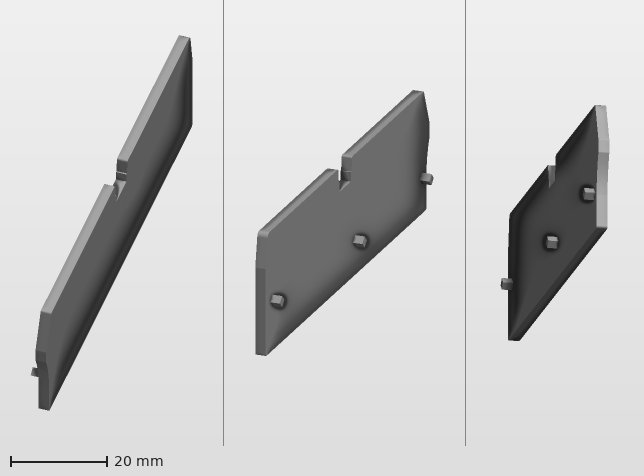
import cadquery as cq

LENGTH = 92.95
HEIGHT = 27
PLATE_THICKNESS = 2.3

TAPER_START_Z = 19.5
TAPER_INSET = 1.3
TAPER_CORNER_RADIUS = 1.2

NOSE_TOP_Y = 3.3
NOSE_UPPER_Z = 18.6
NOSE_LOWER_Z = 15.8
LOWER_END_Y = 1.9
HOLLOW_BOTTOM_Z = 7.25

NOTCH_CENTER_Y = 47.9
MOUTH_WIDTH = 7.8
MOUTH_BOTTOM_WIDTH = 7.2
SLOT_WIDTH = 6.5
MOUTH_DEPTH = 3.25
NOTCH_DEPTH = 5.3

SMALL_CORNER_RADIUS = 0.5

PEG_SIDE = 1.8
PEG_LENGTH = 2.1
PEG_CENTERS = [(4.4, 7.9), (42.3, 7.6), (89.0, 11.2)]


def round_corner(body, y, z, radius):
    """Round the plate edge running along X through (y, z)."""
    margin = 0.1
    corner_box = cq.selectors.BoxSelector(
        (-margin, y - margin, z - margin),
        (PLATE_THICKNESS + margin, y + margin, z + margin),
    )
    return body.edges(corner_box).fillet(radius)


def make_plate():
    """Plate outline in the YZ plane, extruded toward +X."""
    hollow_height = NOSE_LOWER_Z - HOLLOW_BOTTOM_Z
    hollow_radius = (hollow_height**2 + LOWER_END_Y**2) / (2 * LOWER_END_Y)
    hollow_mid_z = HOLLOW_BOTTOM_Z + hollow_height / 2
    hollow_mid_y = LOWER_END_Y - hollow_radius + (hollow_radius**2 - (hollow_height / 2) ** 2) ** 0.5

    plate = (
        cq.Workplane("YZ")
        .moveTo(LOWER_END_Y, 0)
        .lineTo(LENGTH, 0)
        .lineTo(LENGTH, TAPER_START_Z)
        .lineTo(LENGTH - TAPER_INSET, HEIGHT)
        .lineTo(NOSE_TOP_Y, HEIGHT)
        .lineTo(0, NOSE_UPPER_Z)
        .lineTo(0, NOSE_LOWER_Z)
        .threePointArc((hollow_mid_y, hollow_mid_z), (LOWER_END_Y, HOLLOW_BOTTOM_Z))
        .close()
        .extrude(PLATE_THICKNESS)
    )
    plate = round_corner(plate, LENGTH - TAPER_INSET, HEIGHT, TAPER_CORNER_RADIUS)
    small_corners = [
        (LOWER_END_Y, 0),
        (LENGTH, 0),
        (NOSE_TOP_Y, HEIGHT),
        (0, NOSE_UPPER_Z),
        (0, NOSE_LOWER_Z),
    ]
    for y, z in small_corners:
        plate = round_corner(plate, y, z, SMALL_CORNER_RADIUS)
    return plate


def cut_notch(plate):
    """Cut the stepped notch and round the two corners of its mouth."""
    half_profile = [
        (MOUTH_WIDTH / 2, HEIGHT),
        (MOUTH_BOTTOM_WIDTH / 2, HEIGHT - MOUTH_DEPTH),
        (SLOT_WIDTH / 2, HEIGHT - MOUTH_DEPTH),
        (SLOT_WIDTH / 2, HEIGHT - NOTCH_DEPTH),
    ]
    right_side = [(NOTCH_CENTER_Y - y, z) for y, z in half_profile]
    left_side = [(NOTCH_CENTER_Y + y, z) for y, z in reversed(half_profile)]
    notch = cq.Workplane("YZ").polyline(right_side + left_side).close().extrude(PLATE_THICKNESS)
    plate = plate.cut(notch)
    for side in (-1, 1):
        mouth_y = NOTCH_CENTER_Y + side * MOUTH_WIDTH / 2
        plate = round_corner(plate, mouth_y, HEIGHT, SMALL_CORNER_RADIUS)
    return plate


def make_pegs():
    """Square pegs standing out from the plate toward -X."""
    return (
        cq.Workplane("YZ")
        .pushPoints(PEG_CENTERS)
        .polygon(4, PEG_SIDE * 2**0.5)
        .extrude(-PEG_LENGTH)
    )


result = cut_notch(make_plate()).union(make_pegs())